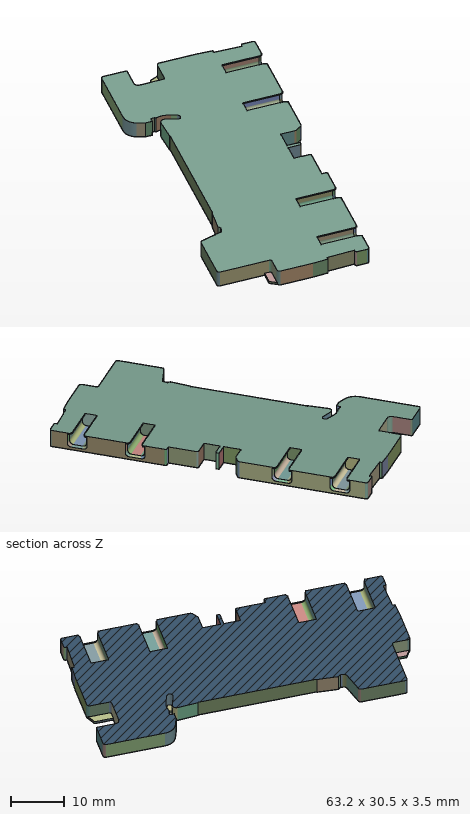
import cadquery as cq
import math

LENGTH = 63.2
HEIGHT = 30.5
THICKNESS = 3.5
SKIN = 0.5
PICK_MARGIN = 0.03
OVERLAP = 0.65

HEAD_INSET = 0.25
NECK_INSET = 0.8
WAIST_INSET = 0.65
SHOULDER_INSET = 0.16
NECK_TOP = 27.75
SHOULDER = 22.25
TAPER_END = 19.2
HEAD_RADIUS = 0.45
LIP_RADIUS = 0.3

NOTCH_LEFT = 26.75
NOTCH_RIGHT = 34.0
NOTCH_FLOOR = 26.05
NOTCH_BEVEL_X = 0.95
NOTCH_BEVEL_Y = 1.45
NOTCH_BEVEL_RADIUS = 0.65
FINGER_LEFT = 30.15
FINGER_WIDTH = 0.7
FINGER_TOP = 28.7
FINGER_RADIUS = 0.25
LEDGE_RIGHT = 39.9
LEDGE_HEIGHT = 29.45
LEDGE_RADIUS = 0.3

FOOT_BOTTOM = 1.5
FOOT_LEFT = 50.2
FOOT_RIGHT = 59.6
FOOT_SHOULDER = 48.85
FOOT_RADIUS = 0.5
FOOT_SHOULDER_RADIUS = 0.7
RIGHT_BODY_BOTTOM = 12.2

SEAT_FLOOR = 6.45
SEAT_STEP = 0.095
SEAT_LEFT = 20.15
SEAT_RIGHT = 43.3
SEAT_LOW = 6.0
SEAT_LOW_RIGHT = 47.4
SEAT_RELIEF_RIGHT = 47.85
SEAT_RELIEF = 6.4

HOOK_TOP = 5.2
HOOK_STEM = 4.6
HOOK_CORNER_RADIUS = 0.5
HOOK_TOP_RADIUS = 0.25
HOOK_INNER_RADIUS = 0.8
HOOK_NOSE_RADIUS = 2.65
HOOK_NOSE_CENTER_X = 12.0
HOOK_NOSE_ANGLE = -17.0
HOOK_TIP = 15.1
HOOK_TIP_BOTTOM = 3.35
HOOK_TIP_TOP = 4.75
HOOK_BACK = 14.3
LEFT_BODY_BOTTOM = 11.05
BODY_CORNER_RADIUS = 0.6
BODY_INNER_RADIUS = 0.4

SLIT_RADIUS = 0.6
SLIT_END_X = 15.6
SLIT_END_Y = 9.55
SLIT_TILT = 20.0
SLIT_OPEN_LENGTH = 1.15
SLIT_BELLY_Y = 7.25
SLIT_TOOTH_X = 14.5
SLIT_TOOTH_TOP = 5.7
SLIT_TOOTH_BOTTOM = 5.5
SLIT_CORNER_RADIUS = 0.8

LEFT_TAB_BOTTOM = 9.5
LEFT_TAB_INSET = 0.95
RIGHT_TAB_BOTTOM = 10.9
RIGHT_TAB_INSET = 1.15
TAB_RADIUS = 0.25

SLOT_OFFSETS = (5.7, 17.1)
SLOT_WIDTH = 2.35
SLOT_BOTTOM = 22.45
SLOT_DEPTH = 2.6
SLOT_LIP = 0.25
SLOT_UNDERCUT = 0.5
SLOT_FLOOR_RADIUS = 0.75
OPENING_RADIUS = 0.05
MOUTH_LENGTH = 0.6
MOUTH_FLARE = 0.285


def slit_point(along, across):
    """Point measured from the slit's end centre, down the slit and to its right."""
    tilt = math.radians(SLIT_TILT)
    return (
        SLIT_END_X - along * math.sin(tilt) + across * math.cos(tilt),
        SLIT_END_Y - along * math.cos(tilt) - across * math.sin(tilt),
    )


def prism(points, height):
    """Upright prism on Z = 0 over a closed polygon."""
    return cq.Workplane("XY").polyline(points).close().extrude(height)


def round_corners(solid, radius, points):
    """Fillet the upright edges that stand at the given points."""
    for x, y in points:
        edge = cq.selectors.BoxSelector(
            (x - PICK_MARGIN, y - PICK_MARGIN, -OVERLAP),
            (x + PICK_MARGIN, y + PICK_MARGIN, THICKNESS + OVERLAP),
        )
        solid = solid.edges("|Z").edges(edge).fillet(radius)
    return solid


def end_steps(place):
    """Stepped end profile from the top corner down; place() turns an inset into X."""
    return [
        (place(HEAD_INSET), HEIGHT),
        (place(HEAD_INSET), NECK_TOP),
        (place(NECK_INSET), NECK_TOP),
        (place(WAIST_INSET), SHOULDER),
        (place(SHOULDER_INSET), SHOULDER),
        (place(0), TAPER_END),
    ]


def from_left(inset):
    return inset


def from_right(inset):
    return LENGTH - inset


LEFT_STEPS = end_steps(from_left)
RIGHT_STEPS = end_steps(from_right)


def make_body():
    """Full-thickness plate with its stepped outline and rounded upright edges."""
    nose_angle = math.radians(HOOK_NOSE_ANGLE)
    nose_middle_angle = (nose_angle - math.pi / 2) / 2

    def nose_point(angle):
        return (
            HOOK_NOSE_CENTER_X + HOOK_NOSE_RADIUS * math.cos(angle),
            HOOK_NOSE_RADIUS + HOOK_NOSE_RADIUS * math.sin(angle),
        )

    bevel_top = (NOTCH_LEFT - NOTCH_BEVEL_X, HEIGHT)
    bevel_bottom = (NOTCH_LEFT, HEIGHT - NOTCH_BEVEL_Y)
    finger_right = FINGER_LEFT + FINGER_WIDTH
    ledge_outer = (NOTCH_RIGHT, LEDGE_HEIGHT)
    ledge_top = (LEDGE_RIGHT, HEIGHT)
    right_corner = (LENGTH, RIGHT_BODY_BOTTOM)
    right_inner = (FOOT_RIGHT, RIGHT_BODY_BOTTOM)
    foot_corners = [(FOOT_RIGHT, FOOT_BOTTOM), (FOOT_LEFT, FOOT_BOTTOM)]
    foot_shoulder = (FOOT_SHOULDER, SEAT_RELIEF)
    slit_right = slit_point(0, SLIT_RADIUS)
    slit_corner_x = slit_right[0] - (slit_right[1] - SEAT_LOW) * math.tan(math.radians(SLIT_TILT))
    slit_corner = (slit_corner_x, SEAT_LOW)
    slit_left = slit_point(0, -SLIT_RADIUS)
    slit_open_left = slit_point(SLIT_OPEN_LENGTH, -SLIT_RADIUS)
    left_corner = (0, LEFT_BODY_BOTTOM)
    left_inner = (HOOK_STEM, LEFT_BODY_BOTTOM)
    stem_foot = (HOOK_STEM, HOOK_TOP)

    outline = cq.Workplane("XY").polyline(
        LEFT_STEPS[::-1]
        + [
            bevel_top,
            bevel_bottom,
            (NOTCH_LEFT, NOTCH_FLOOR),
            (FINGER_LEFT, NOTCH_FLOOR),
            (FINGER_LEFT, FINGER_TOP),
            (finger_right, FINGER_TOP),
            (finger_right, NOTCH_FLOOR),
            (NOTCH_RIGHT, NOTCH_FLOOR),
            ledge_outer,
            (LEDGE_RIGHT, LEDGE_HEIGHT),
            ledge_top,
        ]
        + RIGHT_STEPS
        + [right_corner, right_inner]
        + foot_corners
        + [
            foot_shoulder,
            (SEAT_RELIEF_RIGHT, SEAT_RELIEF),
            (SEAT_LOW_RIGHT, SEAT_LOW),
            (SEAT_RIGHT, SEAT_FLOOR - SEAT_STEP),
            (SEAT_RIGHT, SEAT_FLOOR),
            (SEAT_LEFT, SEAT_FLOOR),
            (SEAT_LEFT, SEAT_FLOOR - SEAT_STEP),
            slit_corner,
            slit_right,
        ]
    )
    outline = (
        outline.threePointArc(slit_point(-SLIT_RADIUS, 0), slit_left)
        .lineTo(*slit_open_left)
        .threePointArc((HOOK_BACK, SLIT_BELLY_Y), (SLIT_TOOTH_X, SLIT_TOOTH_TOP))
        .lineTo(HOOK_BACK, SLIT_TOOTH_BOTTOM)
        .lineTo(HOOK_BACK, HOOK_TIP_TOP)
        .lineTo(HOOK_TIP, HOOK_TIP_TOP)
        .lineTo(HOOK_TIP, HOOK_TIP_BOTTOM)
        .lineTo(*nose_point(nose_angle))
        .threePointArc(nose_point(nose_middle_angle), (HOOK_NOSE_CENTER_X, 0))
        .lineTo(0, 0)
        .lineTo(0, HOOK_TOP)
        .lineTo(*stem_foot)
        .lineTo(*left_inner)
        .lineTo(*left_corner)
        .close()
    )
    body = outline.extrude(THICKNESS)

    body = round_corners(body, HEAD_RADIUS, [LEFT_STEPS[0], RIGHT_STEPS[0]])
    body = round_corners(body, LIP_RADIUS, [LEFT_STEPS[1], RIGHT_STEPS[1]])
    body = round_corners(body, NOTCH_BEVEL_RADIUS, [bevel_top, bevel_bottom])
    body = round_corners(body, FINGER_RADIUS, [(finger_right, FINGER_TOP)])
    body = round_corners(body, LEDGE_RADIUS, [ledge_outer, ledge_top])
    body = round_corners(body, FOOT_RADIUS, foot_corners)
    body = round_corners(body, FOOT_SHOULDER_RADIUS, [foot_shoulder])
    body = round_corners(body, SLIT_CORNER_RADIUS, [slit_corner])
    body = round_corners(body, BODY_CORNER_RADIUS, [left_corner, right_corner])
    body = round_corners(body, BODY_INNER_RADIUS, [left_inner, right_inner])
    body = round_corners(body, HOOK_INNER_RADIUS, [stem_foot])
    body = round_corners(body, HOOK_CORNER_RADIUS, [(0, 0)])
    return round_corners(body, HOOK_TOP_RADIUS, [(0, HOOK_TOP)])


def make_tab(place, body_bottom, tab_bottom, tip_inset, root_inset):
    """Thin tab with a slanted outer end, hanging below one end of the body."""
    tip = (place(tip_inset), tab_bottom)
    tab = prism(
        [
            (place(0), body_bottom + BODY_CORNER_RADIUS),
            tip,
            (place(root_inset + OVERLAP), tab_bottom),
            (place(root_inset + OVERLAP), body_bottom + BODY_CORNER_RADIUS),
        ],
        SKIN,
    )
    return round_corners(tab, TAB_RADIUS, [tip])


def make_slit_web():
    """Thin web that closes the bottom of the slit's round end."""
    reach = SLIT_RADIUS + OVERLAP
    return prism(
        [
            slit_point(-reach, -reach),
            slit_point(-reach, reach),
            slit_point(SLIT_OPEN_LENGTH, reach),
            slit_point(SLIT_OPEN_LENGTH, -SLIT_RADIUS),
            slit_point(0, -reach),
        ],
        SKIN,
    )


def make_flared_channel(center, width, floor, top, radius):
    """Channel along Y, open at the top edge, whose walls and floor flare at the mouth."""
    mouth_start = HEIGHT - MOUTH_LENGTH

    def section(growth):
        height = top - floor + growth
        shape = cq.Sketch().rect(width + 2 * growth, height).vertices("<Y").fillet(radius)
        return shape.moved(cq.Location(cq.Vector(center, top - height / 2, 0)))

    straight = (
        cq.Workplane("XZ", origin=(0, SLOT_BOTTOM, 0))
        .placeSketch(section(0))
        .extrude(SLOT_BOTTOM - mouth_start)
    )
    mouth_end = section(MOUTH_FLARE).moved(cq.Location(cq.Vector(0, 0, -MOUTH_LENGTH)))
    mouth = (
        cq.Workplane("XZ", origin=(0, mouth_start, 0))
        .placeSketch(section(0), mouth_end)
        .loft(ruled=True)
    )
    return straight.union(mouth)


def make_slot(center):
    """Cutter for one marker slot: a round-bottomed channel under two thin lips."""
    floor = THICKNESS - SLOT_DEPTH
    lip_bottom = THICKNESS - SLOT_LIP
    channel_width = SLOT_WIDTH + 2 * SLOT_UNDERCUT
    channel = make_flared_channel(center, channel_width, floor, lip_bottom, SLOT_FLOOR_RADIUS)
    opening = make_flared_channel(
        center, SLOT_WIDTH, lip_bottom - OVERLAP, THICKNESS + OVERLAP, OPENING_RADIUS
    )
    return channel.union(opening)


body = make_body()
body = body.union(make_tab(from_left, LEFT_BODY_BOTTOM, LEFT_TAB_BOTTOM, LEFT_TAB_INSET, HOOK_STEM))
body = body.union(
    make_tab(from_right, RIGHT_BODY_BOTTOM, RIGHT_TAB_BOTTOM, RIGHT_TAB_INSET, LENGTH - FOOT_RIGHT)
)
body = body.union(make_slit_web())
for offset in SLOT_OFFSETS:
    for slot_center in (offset, LENGTH - offset):
        body = body.cut(make_slot(slot_center))

result = body